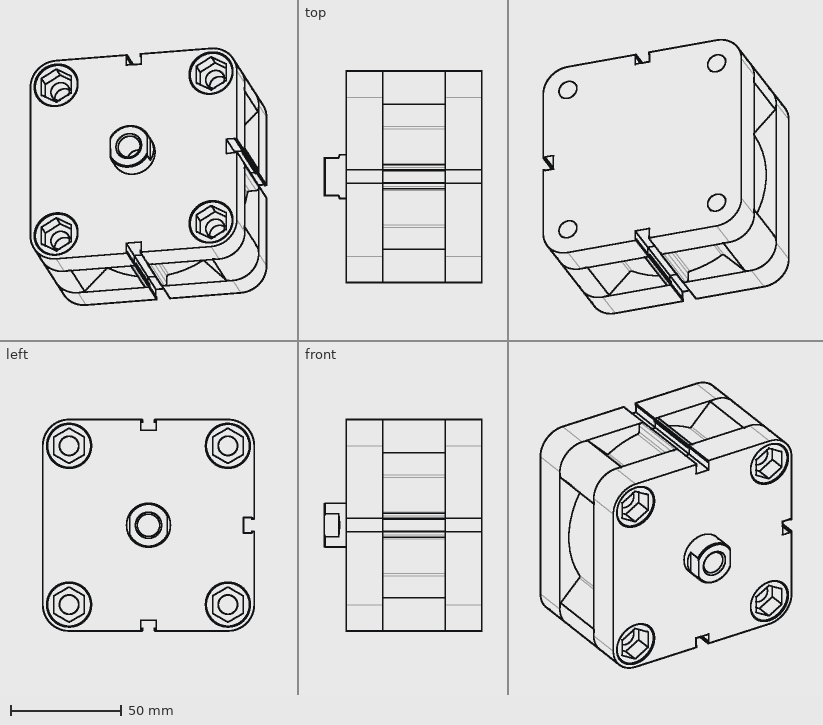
import cadquery as cq
import math


side = 96.0
half_side = side / 2
corner_radius = 12.0
corner_center = half_side - corner_radius
cover_length = 16.5
barrel_length = 28.5
barrel_start = cover_length
barrel_end = barrel_start + barrel_length
body_length = barrel_end + cover_length

tube_radius = 43.2
arm_angles = [45, 135, 225, 315]
arm_arc_angle = 120.0
arm_half_width = corner_radius * math.sin(math.radians(arm_arc_angle / 2))
rib_half_width = 5.4
rib_edge_radius = 1.2
root_fillet = 1.0

slot_angles = [90, 180, 270]
slot_depth = 4.9
slot_half_width = 3.5
cover_mouth_half_width = 3.1
cover_lip = 0.9
barrel_mouth_half_width = 2.7
barrel_lip = 1.2

screw_hole_radius = 4.3
hex_across_flats = 13.8
hex_depth = 8.0
seat_radius = 10.2
seat_depth = 0.4
seat_taper = 45.0
screw_points = [(y, z) for y in (-corner_center, corner_center) for z in (-corner_center, corner_center)]

rod_radius = 10.0
rod_protrusion = 10.0
rod_tip = -rod_protrusion
rod_chamfer = 0.5
flat_offset = 8.5
flat_length = 6.5
flat_runout = 0.5
thread_radius = 5.1
thread_depth = 19.2
drill_point_angle = 118.0
countersink_radius = 6.0


def cross_section_at(x):
    """Workplane at the given X, whose local axes are Y and Z and whose normal is +X."""
    return cq.Workplane("YZ", origin=(x, 0, 0))


def cut_slots(body, mouth_half_width, lip):
    """Cut a T-shaped channel along the full body length into each slotted side."""
    wide_height = slot_depth - lip
    wide_center = half_side - lip - wide_height / 2
    wide = cross_section_at(0).center(wide_center, 0).rect(wide_height, 2 * slot_half_width)
    mouth = cross_section_at(0).center(half_side, 0).rect(2 * slot_depth, 2 * mouth_half_width)
    channel = wide.extrude(body_length).union(mouth.extrude(body_length))
    for angle in slot_angles:
        body = body.cut(channel.rotate((0, 0, 0), (1, 0, 0), angle))
    return body


def cut_screw_holes(body):
    holes = cross_section_at(0).pushPoints(screw_points).circle(screw_hole_radius).extrude(body_length)
    return body.cut(holes)


def make_cover(start):
    """Rounded square block with sensor slots and screw holes."""
    cover = cross_section_at(start).rect(side, side).extrude(cover_length)
    cover = cover.edges("|X").fillet(corner_radius)
    cover = cut_slots(cover, cover_mouth_half_width, cover_lip)
    return cut_screw_holes(cover)


def make_front_cover():
    """Cover with hexagonal screw recesses, each sunk in a shallow conical seat, and the rod bore."""
    cover = make_cover(0)
    across_corners = hex_across_flats / math.cos(math.radians(30))
    face = cross_section_at(0)
    for y, z in screw_points:
        recess = face.polygon(6, across_corners).extrude(seat_depth + hex_depth)
        recess = recess.rotate((0, 0, 0), (1, 0, 0), 90)
        seat = face.circle(seat_radius).extrude(seat_depth, taper=seat_taper)
        cover = cover.cut(recess.translate((0, y, z))).cut(seat.translate((0, y, z)))
    rod_bore = face.circle(rod_radius).extrude(cover_length)
    return cover.cut(rod_bore)


def make_corner_arm():
    """Straight-sided arm along +Y, ending in an arc of the corner radius."""
    reach = math.hypot(corner_center, corner_center)
    arc_start = reach + math.sqrt(corner_radius**2 - arm_half_width**2)
    return (
        cross_section_at(barrel_start)
        .moveTo(0, -arm_half_width)
        .lineTo(arc_start, -arm_half_width)
        .threePointArc((reach + corner_radius, 0), (arc_start, arm_half_width))
        .lineTo(0, arm_half_width)
        .close()
        .extrude(barrel_length)
    )


def make_slot_rib():
    """Rib along +Y with rounded outer edges, which carries one sensor slot."""
    rib = (
        cross_section_at(barrel_start)
        .center(half_side / 2, 0)
        .rect(half_side, 2 * rib_half_width)
        .extrude(barrel_length)
    )
    return rib.faces(">Y").edges("|X").fillet(rib_edge_radius)


def make_mouth_chamfer():
    """Cutter that widens the outer edge of the barrel's slot mouth to the width of the cover's mouth."""
    chamfer = cover_mouth_half_width - barrel_mouth_half_width
    return (
        cross_section_at(barrel_start)
        .moveTo(half_side, -cover_mouth_half_width)
        .lineTo(half_side, cover_mouth_half_width)
        .lineTo(half_side - chamfer, barrel_mouth_half_width)
        .lineTo(half_side - chamfer, -barrel_mouth_half_width)
        .close()
        .extrude(barrel_length)
    )


def is_on_tube(edge):
    center = edge.Center()
    return math.isclose(math.hypot(center.y, center.z), tube_radius, abs_tol=0.01)


def make_barrel():
    """Round tube body with four corner arms and a rib under each sensor slot."""
    barrel = cross_section_at(barrel_start).circle(tube_radius).extrude(barrel_length)
    barrel = barrel.rotate((0, 0, 0), (1, 0, 0), arm_angles[0])
    for angle in arm_angles:
        barrel = barrel.union(make_corner_arm().rotate((0, 0, 0), (1, 0, 0), angle))
    for angle in slot_angles:
        barrel = barrel.union(make_slot_rib().rotate((0, 0, 0), (1, 0, 0), angle))
    barrel = barrel.edges("|X").filter(is_on_tube).fillet(root_fillet)
    barrel = cut_slots(barrel, barrel_mouth_half_width, barrel_lip)
    for angle in slot_angles:
        barrel = barrel.cut(make_mouth_chamfer().rotate((0, 0, 0), (1, 0, 0), angle))
    return cut_screw_holes(barrel)


def make_threaded_hole():
    """Countersunk blind hole with a drill point, revolved about the rod axis."""
    countersink_depth = countersink_radius - thread_radius
    hole_end = rod_tip + thread_depth
    point_length = thread_radius / math.tan(math.radians(drill_point_angle / 2))
    return (
        cq.Workplane("XY")
        .moveTo(rod_tip, 0)
        .lineTo(rod_tip, countersink_radius)
        .lineTo(rod_tip + countersink_depth, thread_radius)
        .lineTo(hole_end, thread_radius)
        .lineTo(hole_end + point_length, 0)
        .close()
        .revolve(360, (0, 0, 0), (1, 0, 0))
    )


def make_wrench_flat():
    """Cutter for the wrench flat on the -Y side, with a slightly sloped end."""
    flat_end = rod_tip + flat_length
    return (
        cq.Workplane("XY")
        .moveTo(rod_tip, -flat_offset)
        .lineTo(flat_end, -flat_offset)
        .lineTo(flat_end + flat_runout, -rod_radius)
        .lineTo(rod_tip, -rod_radius)
        .close()
        .extrude(rod_radius, both=True)
    )


def make_piston_rod():
    """Rod through the front cover, with two wrench flats and a threaded hole at its tip."""
    rod = cross_section_at(rod_tip).circle(rod_radius).extrude(rod_protrusion + cover_length)
    rod = rod.faces("<X").edges().chamfer(rod_chamfer)
    wrench_flat = make_wrench_flat()
    rod = rod.cut(wrench_flat).cut(wrench_flat.mirror("XZ"))
    return rod.cut(make_threaded_hole())


front_cover = make_front_cover()
barrel = make_barrel()
rear_cover = make_cover(barrel_end)
piston_rod = make_piston_rod()

bodies = [front_cover, barrel, rear_cover, piston_rod]
result = cq.Compound.makeCompound([body.solids().val() for body in bodies])